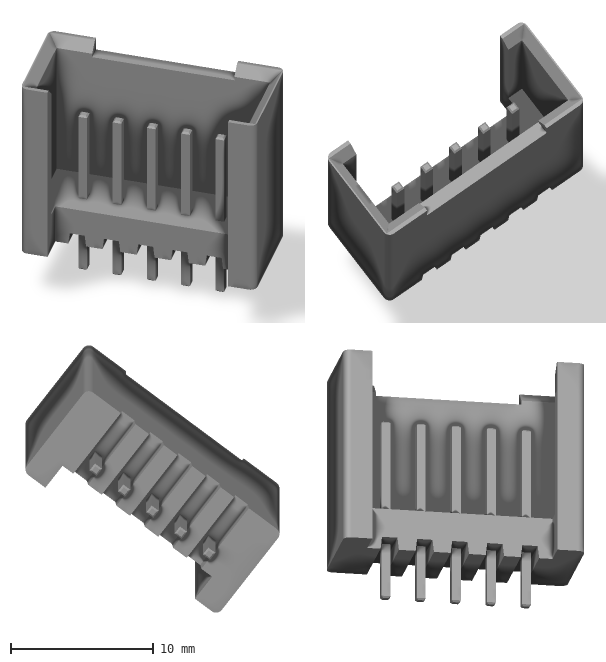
import cadquery as cq

length = 17.2
depth = 7.5
height = 14.0
corner_radius = 0.5

side_wall = 0.8
end_wall = 1.0
floor_height = 3.0
lead_in = 0.7

front_opening_width = 13.21
front_opening_depth = 2.0
back_notch_width = 10.39
back_notch_depth = 1.0

pin_count = 5
pin_row_length = 10.01
pin_pitch = pin_row_length / (pin_count - 1)
pin_size = 0.64
pin_tail = 3.1
pin_top = 10.05
pin_tip_chamfer = 0.12

groove_height = 0.9
groove_bottom_width = 1.3
groove_top_width = 1.1

pin_positions = [(i - (pin_count - 1) / 2) * pin_pitch for i in range(pin_count)]
pocket_length = length - 2 * side_wall
pocket_depth = depth - 2 * end_wall


def make_block():
    """Solid housing blank with rounded vertical edges."""
    block = cq.Workplane("XY").box(length, depth, height, centered=(True, True, False))
    return block.edges("|Z").fillet(corner_radius)


def make_pocket():
    """Plug pocket, flaring outwards at the top to form the lead-in."""
    straight_top = height - lead_in
    straight = (
        cq.Workplane("XY")
        .workplane(offset=floor_height)
        .rect(pocket_length, pocket_depth)
        .extrude(straight_top - floor_height)
    )
    mouth = (
        cq.Workplane("XY")
        .workplane(offset=straight_top)
        .rect(pocket_length, pocket_depth)
        .workplane(offset=lead_in)
        .rect(pocket_length + 2 * lead_in, pocket_depth + 2 * lead_in)
        .loft(ruled=True)
    )
    return straight.union(mouth)


def make_front_opening():
    """Full-height gap through the front wall and the front of the floor."""
    return (
        cq.Workplane("XY")
        .box(front_opening_width, front_opening_depth, height, centered=(True, False, False))
        .translate((0, -depth / 2, 0))
    )


def make_back_notch():
    """Shallow notch in the rim of the back wall."""
    return (
        cq.Workplane("XY")
        .box(back_notch_width, end_wall, back_notch_depth, centered=(True, False, False))
        .translate((0, depth / 2 - end_wall, height - back_notch_depth))
    )


def make_groove(x):
    """Relief groove running front to back, narrowing upwards."""
    return (
        cq.Workplane("XZ", origin=(x, depth / 2, 0))
        .moveTo(-groove_bottom_width / 2, 0)
        .lineTo(-groove_top_width / 2, groove_height)
        .lineTo(groove_top_width / 2, groove_height)
        .lineTo(groove_bottom_width / 2, 0)
        .close()
        .extrude(depth)
    )


def make_pin(x):
    """Square pin with chamfered tips at both ends."""
    return (
        cq.Workplane("XY")
        .box(pin_size, pin_size, pin_top + pin_tail, centered=(True, True, False))
        .faces("<Z or >Z")
        .edges()
        .chamfer(pin_tip_chamfer)
        .translate((x, 0, -pin_tail))
    )


housing = make_block().cut(make_pocket()).cut(make_front_opening()).cut(make_back_notch())
for pin_x in pin_positions:
    housing = housing.cut(make_groove(pin_x))
for pin_x in pin_positions:
    housing = housing.union(make_pin(pin_x))

result = housing